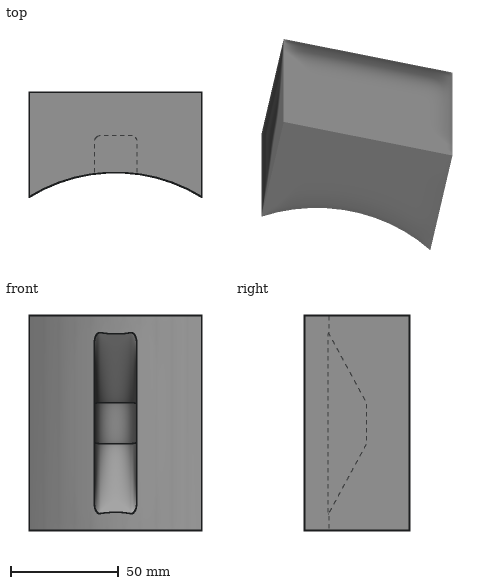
import cadquery as cq
import math

width = 80.2
depth = 48.8
height = 100.0

front_radius = 76.2
front_rise = front_radius - math.sqrt(front_radius**2 - (width / 2) ** 2)

pocket_width = 19.8
pocket_depth = 17.3
pocket_mouth_height = 82.8
pocket_floor_height = 19.0
pocket_fillet = 2.8


def make_block():
    """Rectangular block with a concave front, centred on x and z."""
    return (
        cq.Workplane("XY")
        .workplane(offset=-height / 2)
        .moveTo(-width / 2, 0)
        .threePointArc((0, front_rise), (width / 2, 0))
        .lineTo(width / 2, depth)
        .lineTo(-width / 2, depth)
        .close()
        .extrude(height)
    )


def make_pocket():
    """Trapezoidal cutter, with its side edges rounded along the slopes and floor."""
    floor_y = front_rise + pocket_depth
    half_floor = pocket_floor_height / 2
    half_mouth = pocket_mouth_height / 2
    half_start = half_mouth + (half_mouth - half_floor) * front_rise / pocket_depth

    cutter = (
        cq.Workplane("YZ")
        .polyline(
            [
                (0, -half_start),
                (floor_y, -half_floor),
                (floor_y, half_floor),
                (0, half_start),
            ]
        )
        .close()
        .extrude(pocket_width / 2, both=True)
    )
    side_edges = cutter.faces("<X or >X").edges().edges("not(<Y)")
    return cutter.newObject(side_edges.vals()).fillet(pocket_fillet)


result = make_block().cut(make_pocket())